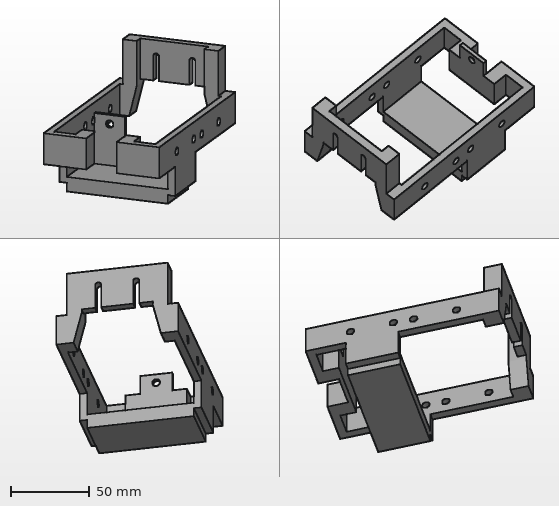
import cadquery as cq

width = 80.0
length = 128.78
height = 76.35

rail_thickness = 5.0
rail_bottom = 25.35
rail_top = 46.2
wall_thickness = 5.8
inner_width = width - 2 * rail_thickness

tab_width = 21.0
tab_thickness = 2.7
tab_back = 16.5
tab_top = 59.2
tab_hole_height = 53.1
block_width = 9.7

cradle_front = 26.8
cradle_length = 34.8
cradle_side_bottom = 5.8
cradle_floor_top = 9.8

rear_width = 66.2
rear_wall_bottom = 49.1
post_width = 9.7
post_depth = 12.0
post_taper = 5.2
slot_width = 4.0
slot_spacing = 25.0
slot_top = 67.4

hole_diameter = 5.0
holes_per_row = 2
hole_pitch = 28.6
rear_hole_start = 71.9
rear_hole_height = 34.4
front_hole_start = 29.9
front_hole_height = 34.9

SIDES = (-1, 1)


def box(x_range, y_range, z_range):
    """Box between two limits on each axis; the X limits may come in either order."""
    x_min, x_max = sorted(x_range)
    y_min, y_max = y_range
    z_min, z_max = z_range
    return cq.Workplane("XY").box(
        x_max - x_min, y_max - y_min, z_max - z_min, centered=False
    ).translate((x_min, y_min, z_min))


def make_side(side):
    """Rail, front bar and tab block on one side."""
    rail_inner = side * inner_width / 2
    tab_edge = side * tab_width / 2
    z_range = (rail_bottom, rail_top)
    rail = box((rail_inner, side * width / 2), (0, length), z_range)
    front_bar = box((tab_edge, rail_inner), (0, wall_thickness), z_range)
    block = box((tab_edge, tab_edge + side * block_width), (0, tab_back), z_range)
    return rail.union(front_bar).union(block)


def make_tab():
    """Thin upright plate between the blocks, with one hole near its top."""
    tab = box((-tab_width / 2, tab_width / 2), (tab_back - tab_thickness, tab_back), (rail_bottom, tab_top))
    hole = (
        cq.Workplane("XZ")
        .center(0, tab_hole_height)
        .circle(hole_diameter / 2)
        .extrude(-tab_back)
    )
    return tab.cut(hole)


def make_cradle():
    """U-shaped cradle: two side plates that drop from the rails and a thick floor."""
    y_range = (cradle_front, cradle_front + cradle_length)
    sides = box((-width / 2, width / 2), y_range, (cradle_side_bottom, rail_bottom))
    floor = box((-inner_width / 2, inner_width / 2), y_range, (0, cradle_floor_top))
    opening = box((-inner_width / 2, inner_width / 2), y_range, (cradle_floor_top, rail_bottom))
    return sides.union(floor).cut(opening)


def make_post(side):
    """Corner post that widens onto the rail and tapers on its inner side below the rail top."""
    outer = side * rear_width / 2
    inner = outer - side * post_width
    rail_inner = side * inner_width / 2
    return (
        cq.Workplane("XZ", origin=(0, length, 0))
        .polyline([
            (inner, height),
            (outer, height),
            (outer, rail_top),
            (rail_inner, rail_top),
            (rail_inner, rail_bottom),
            (inner + side * post_taper, rail_bottom),
            (inner, rail_top),
        ])
        .close()
        .extrude(post_depth)
    )


def make_rear_wall():
    """Wall between the posts with two round-topped slots open at the bottom."""
    y_range = (length - wall_thickness, length)
    wall = box((-rear_width / 2, rear_width / 2), y_range, (rear_wall_bottom, height))
    slot_radius = slot_width / 2
    arc_centre = slot_top - slot_radius
    for side in SIDES:
        centre = side * slot_spacing / 2
        slot = (
            cq.Workplane("XZ", origin=(0, length, 0))
            .moveTo(centre - slot_radius, rear_wall_bottom)
            .lineTo(centre - slot_radius, arc_centre)
            .threePointArc((centre, slot_top), (centre + slot_radius, arc_centre))
            .lineTo(centre + slot_radius, rear_wall_bottom)
            .close()
            .extrude(wall_thickness)
        )
        wall = wall.cut(slot)
    return wall


def make_rail_holes():
    """Cross holes that pass through both rails."""
    rear_row = [(rear_hole_start + i * hole_pitch, rear_hole_height) for i in range(holes_per_row)]
    front_row = [(front_hole_start + i * hole_pitch, front_hole_height) for i in range(holes_per_row)]
    return (
        cq.Workplane("YZ")
        .pushPoints(rear_row + front_row)
        .circle(hole_diameter / 2)
        .extrude(width / 2, both=True)
    )


frame = make_cradle()
for rail_side in SIDES:
    frame = frame.union(make_side(rail_side)).union(make_post(rail_side))
frame = frame.cut(make_rail_holes())

result = frame.union(make_rear_wall()).union(make_tab()).clean()